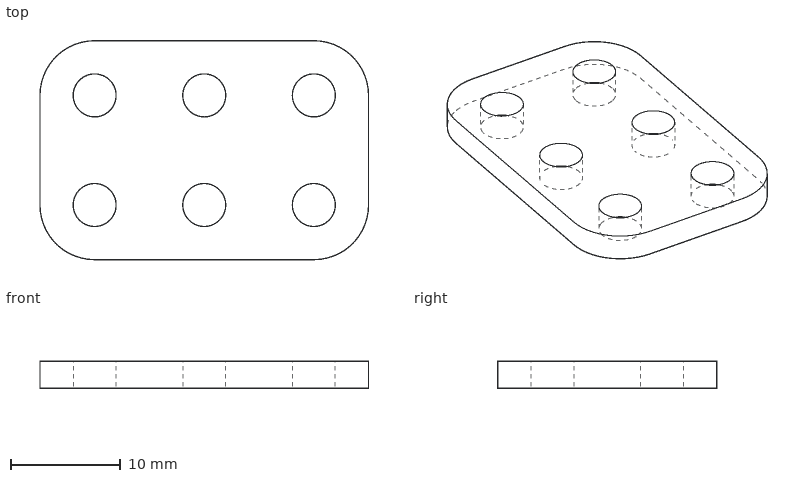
import cadquery as cq

length = 30.0
columns = 3
rows = 2
thickness = 2.5
hole_diameter = 3.9

pitch = length / columns
width = rows * pitch
corner_radius = pitch / 2


def make_plate():
    """Flat plate with rounded vertical corners, resting on Z = 0."""
    plate = cq.Workplane("XY").box(length, width, thickness, centered=(True, True, False))
    return plate.edges("|Z").fillet(corner_radius)


def drill_hole_grid(plate):
    """Through holes on an evenly spaced grid centred on the plate."""
    return (
        plate.faces(">Z")
        .workplane(origin=(0, 0, thickness))
        .rarray(pitch, pitch, columns, rows)
        .hole(hole_diameter)
    )


result = drill_hole_grid(make_plate())